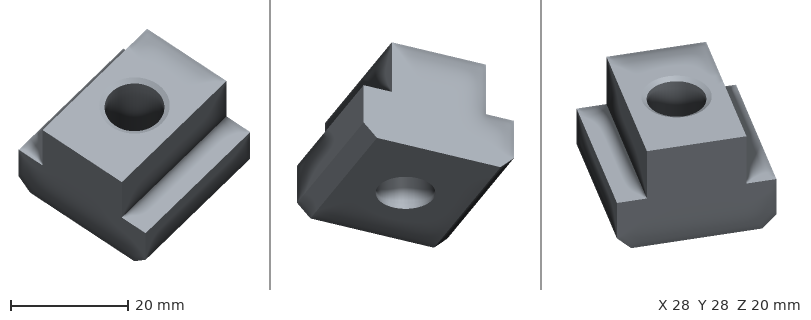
import cadquery as cq
import math

width = 28.0
length = 28.0
height = 20.0

neck_width = 17.5
flange_height = height / 2
corner_chamfer = 2.5

hole_diameter = 10.2
mouth_diameter = 12.0
mouth_slope = 30.0
mouth_depth = (mouth_diameter - hole_diameter) / 2 * math.tan(math.radians(mouth_slope))


def t_block():
    """T-shaped bar along Y, chamfered along its two lower edges."""
    right_half = [
        (0, 0),
        (width / 2 - corner_chamfer, 0),
        (width / 2, corner_chamfer),
        (width / 2, flange_height),
        (neck_width / 2, flange_height),
        (neck_width / 2, height),
        (0, height),
    ]
    return (
        cq.Workplane("XZ")
        .polyline(right_half)
        .mirrorY()
        .extrude(length / 2, both=True)
    )


def hole_cutter():
    """Bore through the full height, widening to a cone at the top."""
    half_section = [
        (0, 0),
        (hole_diameter / 2, 0),
        (hole_diameter / 2, height - mouth_depth),
        (mouth_diameter / 2, height),
        (0, height),
    ]
    return (
        cq.Workplane("XZ")
        .polyline(half_section)
        .close()
        .revolve(360, (0, 0), (0, 1))
    )


result = t_block().cut(hole_cutter())